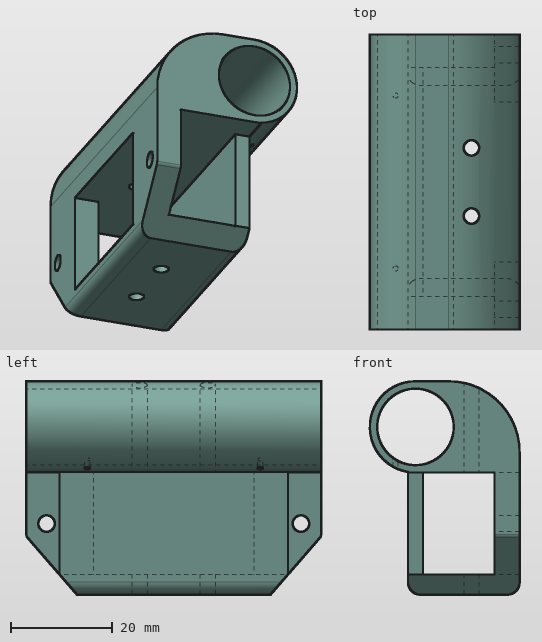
import cadquery as cq

width = 29.5
length = 58.0
height = 42.0

tube_radius = 9.0
bore_diameter = 15.0
shoulder_radius = 14.0
tube_x = tube_radius
tube_z = height - tube_radius
body_bottom = height - 2 * tube_radius
wall_overlap = 0.5

left_wall = 3.0
right_wall = 5.0
floor_thickness = 4.0
channel_width = 14.0
channel_right = width - right_wall
channel_left = channel_right - channel_width
box_left = channel_left - left_wall
bottom_fillet = 2.5

left_wall_setback = 6.5
right_tab_length = 13.25
slope_length = 10.0
slope_height = 11.5
slope_fillet = 1.0

tab_hole_diameter = 3.2
tab_hole_inset = 4.0
tab_hole_z = 14.0
vertical_hole_diameter = 3.0
vertical_hole_x = 20.0
vertical_hole_spacing = 13.4
vent_diameter = 1.0
vent_x = 5.1
vent_inset = 12.0

half_length = length / 2
ends = (-1, 1)


def block(x_min, x_max, y_min, y_max, z_min, z_max):
    size = (x_max - x_min, y_max - y_min, z_max - z_min)
    return cq.Workplane("XY").box(*size, centered=False).translate((x_min, y_min, z_min))


def rounded_body():
    """Tube outline with a flat top and a large round shoulder, along Y."""
    return (
        cq.Workplane("XZ", origin=(0, half_length, 0))
        .moveTo(tube_x, body_bottom)
        .threePointArc((0, tube_z), (tube_x, height))
        .lineTo(width - shoulder_radius, height)
        .radiusArc((width, height - shoulder_radius), shoulder_radius)
        .lineTo(width, body_bottom)
        .close()
        .extrude(length)
    )


def channel_box():
    """Solid box below the body, with rounded lower edges and sloped ends."""
    box_top = body_bottom + wall_overlap
    box = block(box_left, width, -half_length, half_length, 0, box_top)
    box = box.edges("|Y and <Z").fillet(bottom_fillet)
    side_outline = (
        cq.Workplane("YZ")
        .polyline([
            (-half_length, box_top),
            (-half_length, slope_height),
            (slope_length - half_length, 0),
            (half_length - slope_length, 0),
            (half_length, slope_height),
            (half_length, box_top),
        ])
        .close()
        .extrude(width)
    )
    corner_band = cq.selectors.BoxSelector(
        (0, -length, slope_height - slope_fillet),
        (width, length, slope_height + slope_fillet),
    )
    side_outline = side_outline.edges("|X").edges(corner_band).fillet(slope_fillet)
    return box.intersect(side_outline)


def bore():
    return (
        cq.Workplane("XZ", origin=(tube_x, half_length, tube_z))
        .circle(bore_diameter / 2)
        .extrude(length)
    )


def channel():
    return block(channel_left, channel_right, -half_length, half_length, floor_thickness, body_bottom)


def wall_setback(end):
    """Cut that shortens the left wall at one end."""
    inner_y = end * (half_length - left_wall_setback)
    outer_y = end * half_length
    y_min, y_max = sorted((inner_y, outer_y))
    return block(box_left, channel_left, y_min, y_max, floor_thickness, body_bottom)


def right_window():
    """Opening through the right wall, leaving a tab at each end."""
    half_window = half_length - right_tab_length
    return block(channel_right, width, -half_window, half_window, floor_thickness, body_bottom)


def tab_hole(end):
    """Cross hole through the right wall at one end."""
    return (
        cq.Workplane("YZ", origin=(channel_left, end * (half_length - tab_hole_inset), tab_hole_z))
        .circle(tab_hole_diameter / 2)
        .extrude(width - channel_left)
    )


def vertical_hole(end):
    """Hole from the shoulder down through the channel floor."""
    return (
        cq.Workplane("XY", origin=(vertical_hole_x, end * vertical_hole_spacing / 2, 0))
        .circle(vertical_hole_diameter / 2)
        .extrude(height)
    )


def vent_hole(end):
    """Small hole through the lower tube wall into the bore."""
    return (
        cq.Workplane("XY", origin=(vent_x, end * (half_length - vent_inset), 0))
        .circle(vent_diameter / 2)
        .extrude(tube_z)
    )


result = rounded_body().union(channel_box()).cut(bore()).cut(channel()).cut(right_window())
for end in ends:
    result = result.cut(wall_setback(end))
    result = result.cut(tab_hole(end))
    result = result.cut(vertical_hole(end))
    result = result.cut(vent_hole(end))